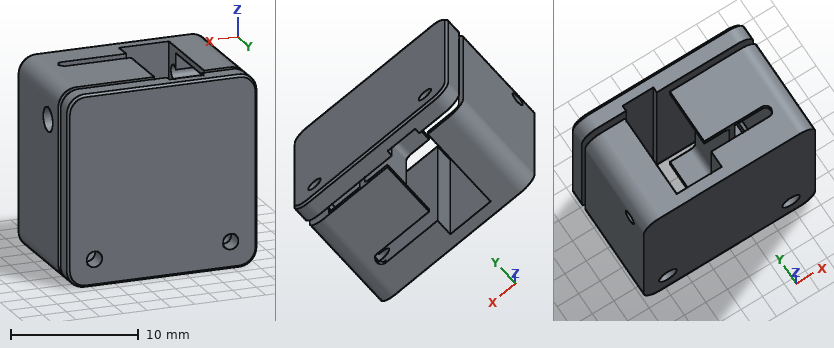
import cadquery as cq

side = 16.0
total_depth = 10.5
lid_depth = 1.5
gap = 0.5
housing_depth = total_depth - lid_depth - gap
lid_front = housing_depth + gap
corner_radius = 1.5
lid_chamfer = 0.2

wall = 0.5
front_wall = 2.51
partition_x = 10.25
cavity_radius = 0.5
right_wall = 2.0

opening_left = 3.71
opening_right = 7.9
opening_front = 1.0
slot_width = 1.0
slot_end = 13.8

relief_left = 4.15
relief_right = 7.0
relief_depth = 0.5

screw_inset = 2.25
housing_screw_diameter = 1.63
lid_screw_diameter = 1.3
pin_y = 2.03
pin_z = 13.78
pin_diameter = 1.2
outlet_y = 6.3
outlet_z = 12.8
outlet_diameter = 2.0


def box(x0, x1, y0, y1, z0=0.0, z1=side):
    """Box between two opposite corners."""
    return cq.Workplane("XY").box(x1 - x0, y1 - y0, z1 - z0, centered=False).translate((x0, y0, z0))


def rounded_block(y0, depth):
    """Square block with its four corners rounded about Y."""
    return box(0, side, y0, y0 + depth).edges("|Y").fillet(corner_radius)


def screw_holes(diameter, y0, depth):
    """Cutters for the two screw holes near the bottom corners."""
    centers = [(x, screw_inset) for x in (screw_inset, side - screw_inset)]
    plane = cq.Workplane("XZ", origin=(0, y0, 0))
    return plane.pushPoints(centers).circle(diameter / 2).extrude(-depth)


def cavity(x0, x1):
    """Cutter for one cavity, from the front wall to the open back."""
    return box(x0, x1, front_wall, housing_depth, wall, side - wall)


def slot():
    """Cutter for the round-ended slot, through the full height."""
    radius = slot_width / 2
    arc_x = slot_end - radius
    return (
        cq.Workplane("XY")
        .moveTo(opening_left, front_wall)
        .lineTo(arc_x, front_wall)
        .threePointArc((slot_end, front_wall + radius), (arc_x, front_wall + slot_width))
        .lineTo(opening_left, front_wall + slot_width)
        .close()
        .extrude(side)
    )


def pin_hole():
    """Cutter for the cross hole from the left side into the opening."""
    plane = cq.Workplane("YZ").center(pin_y, pin_z)
    return plane.circle(pin_diameter / 2).extrude(opening_left)


def outlet_hole():
    """Cutter for the cross hole from the right cavity out through the right side."""
    plane = cq.Workplane("YZ", origin=(side, 0, 0)).center(outlet_y, outlet_z)
    return plane.circle(outlet_diameter / 2).extrude(-right_wall)


def make_housing():
    body = rounded_block(0, housing_depth)
    body = body.cut(cavity(wall, partition_x).edges("|Y").fillet(cavity_radius))
    body = body.cut(cavity(partition_x + wall, side - right_wall))
    body = body.cut(box(opening_left, opening_right, opening_front, housing_depth))
    body = body.cut(slot())
    body = body.cut(screw_holes(housing_screw_diameter, 0, housing_depth))
    body = body.cut(pin_hole())
    return body.cut(outlet_hole())


def make_lid():
    body = rounded_block(lid_front, lid_depth).faces(">Y").edges().chamfer(lid_chamfer)
    body = body.cut(box(relief_left, relief_right, lid_front, lid_front + relief_depth))
    return body.cut(screw_holes(lid_screw_diameter, lid_front, lid_depth))


housing = make_housing()
lid = make_lid()
result = cq.Compound.makeCompound([housing.val(), lid.val()])